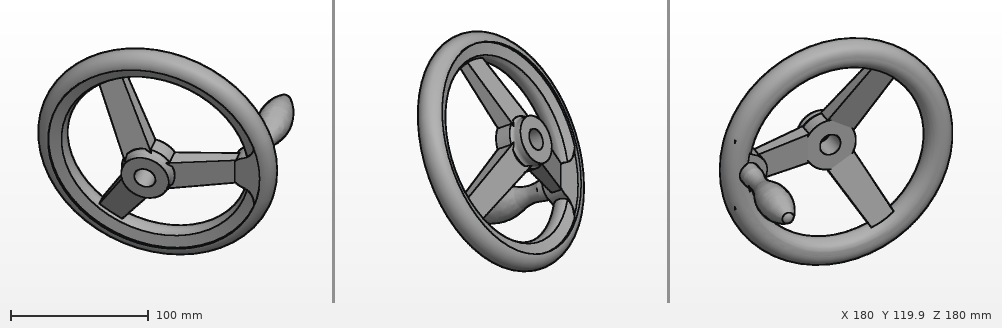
import cadquery as cq
import math


rim_outer_radius = 90.0
rim_half_width = 10.0
rim_inner_radius = 68.5
rim_round_center = rim_outer_radius - rim_half_width
step_radius = rim_round_center
step_depth = 1.7
step_floor = -rim_half_width + step_depth
cone_inner_radius = 71.0
cone_inner_y = -5.9
rim_inner_y = 0.5
back_flat_radius = 79.5

hub_front = -32.8
hub_back = -11.5
hub_radius = 20.0
collar_radius = 18.0
collar_length = 5.2
cove_length = 3.2
bore_radius = 8.0

arm_count = 3
arm_start = 12.0
arm_end = 73.0
arm_front_at_axis = -31.9
arm_front_slope = 0.411
arm_back_at_axis = -17.0
arm_back_slope = 0.316
arm_half_width_at_axis = 12.1
arm_taper = 0.03

handle_distance = 71.0
boss_radius = 14.2
boss_front = -7.1
boss_back = 8.0
boss_blend_radius = 13.0
web_inner_x = 74.9
web_outer_x = 82.0
web_half_height = 28.0

handle_base_radius = 8.0
handle_base_end = 17.7
neck_radius = 6.7
neck_y = 27.0
flare_radius = 8.2
flare_y = 38.6
grip_radius = 12.5
grip_y = 57.0
cap_radius = 4.4
cap_y = 85.4
overall_length = 119.87
handle_tip = hub_front + overall_length


def revolve_about_y(profile):
    return profile.close().revolve(360, (0, 0), (0, 1))


def make_rim():
    """Round outside, with a shallow step and a cone on the front of the inner side."""
    profile = (
        cq.Workplane("XY")
        .moveTo(step_radius, -rim_half_width)
        .threePointArc((rim_outer_radius, 0), (rim_round_center, rim_half_width))
        .lineTo(back_flat_radius, rim_half_width)
        .threePointArc((rim_inner_radius, rim_inner_y), (cone_inner_radius, cone_inner_y))
        .lineTo(step_radius, step_floor)
    )
    return revolve_about_y(profile)


def make_hub():
    """Hub body with a narrower front collar joined by a concave cove."""
    cove_start = hub_front + collar_length
    cove_end = cove_start + cove_length
    cove_height = hub_radius - collar_radius
    cove_radius = (cove_length**2 + cove_height**2) / (2 * cove_height)
    half_angle = math.asin(cove_length / cove_radius) / 2
    cove_middle = (
        collar_radius + cove_radius * (1 - math.cos(half_angle)),
        cove_start + cove_radius * math.sin(half_angle),
    )
    profile = (
        cq.Workplane("XY")
        .moveTo(0, hub_front)
        .lineTo(collar_radius, hub_front)
        .lineTo(collar_radius, cove_start)
        .threePointArc(cove_middle, (hub_radius, cove_end))
        .lineTo(hub_radius, hub_back)
        .lineTo(0, hub_back)
    )
    return revolve_about_y(profile)


def make_arm():
    """Arm along +X, dished in side outline and tapered in width."""
    def front_y(x):
        return arm_front_at_axis + arm_front_slope * x

    def back_y(x):
        return arm_back_at_axis + arm_back_slope * x

    def half_width(x):
        return arm_half_width_at_axis - arm_taper * x

    side = (
        cq.Workplane("XY")
        .moveTo(arm_start, front_y(arm_start))
        .lineTo(arm_end, front_y(arm_end))
        .lineTo(arm_end, back_y(arm_end))
        .lineTo(arm_start, back_y(arm_start))
        .close()
        .extrude(arm_half_width_at_axis, both=True)
    )
    plan = (
        cq.Workplane("XZ")
        .moveTo(arm_start, -half_width(arm_start))
        .lineTo(arm_end, -half_width(arm_end))
        .lineTo(arm_end, half_width(arm_end))
        .lineTo(arm_start, half_width(arm_start))
        .close()
        .extrude(-hub_front, both=True)
    )
    return side.intersect(plan)


def make_boss_plate(start_y, end_y):
    """Round boss outline blended into a web that reaches the rim, between two Y planes."""
    blend_x = web_inner_x - boss_blend_radius
    center_distance = boss_radius + boss_blend_radius
    blend_z = math.sqrt(center_distance**2 - (handle_distance - blend_x) ** 2)
    boss_share = boss_radius / center_distance
    tangent_x = handle_distance + (blend_x - handle_distance) * boss_share
    tangent_z = blend_z * boss_share
    middle_angle = math.atan2(tangent_z - blend_z, tangent_x - blend_x) / 2
    middle_x = blend_x + boss_blend_radius * math.cos(middle_angle)
    middle_z = blend_z + boss_blend_radius * math.sin(middle_angle)
    return (
        cq.Workplane("XZ", origin=(0, start_y, 0))
        .moveTo(web_outer_x, -web_half_height)
        .lineTo(web_inner_x, -web_half_height)
        .lineTo(web_inner_x, -blend_z)
        .threePointArc((middle_x, -middle_z), (tangent_x, -tangent_z))
        .threePointArc((handle_distance - boss_radius, 0), (tangent_x, tangent_z))
        .threePointArc((middle_x, middle_z), (web_inner_x, blend_z))
        .lineTo(web_inner_x, web_half_height)
        .lineTo(web_outer_x, web_half_height)
        .close()
        .extrude(start_y - end_y)
    )


def make_boss_recess():
    """Space in front of the boss that keeps it flat out to the step of the rim."""
    inside_step = cq.Workplane("XZ").circle(step_radius).extrude(rim_half_width, both=True)
    return make_boss_plate(-rim_half_width, boss_front).intersect(inside_step)


def make_handle():
    """Turned handle: straight base, waisted neck, swelling grip and domed tip."""
    tip_height = handle_tip - cap_y
    tip_sphere_radius = (cap_radius**2 + tip_height**2) / (2 * tip_height)
    half_angle = math.asin(cap_radius / tip_sphere_radius) / 2
    tip_middle = (
        tip_sphere_radius * math.sin(half_angle),
        handle_tip - tip_sphere_radius * (1 - math.cos(half_angle)),
    )
    profile = (
        cq.Workplane("XY")
        .moveTo(0, boss_front + rim_half_width)
        .lineTo(handle_base_radius, boss_front + rim_half_width)
        .lineTo(handle_base_radius, handle_base_end)
        .spline([(neck_radius, neck_y), (flare_radius, flare_y)], includeCurrent=True)
        .spline([(grip_radius, grip_y), (cap_radius, cap_y)], includeCurrent=True)
        .threePointArc(tip_middle, (0, handle_tip))
    )
    return revolve_about_y(profile).translate((handle_distance, 0, 0))


rim = make_rim().cut(make_boss_recess())
wheel = rim.union(make_hub())
for index in range(arm_count):
    arm = make_arm().rotate((0, 0, 0), (0, 1, 0), index * 360 / arm_count)
    wheel = wheel.union(arm)
wheel = wheel.union(make_boss_plate(boss_front, boss_back)).union(make_handle())

bore = cq.Workplane("XZ").circle(bore_radius).extrude(-hub_front, both=True)
result = wheel.cut(bore)